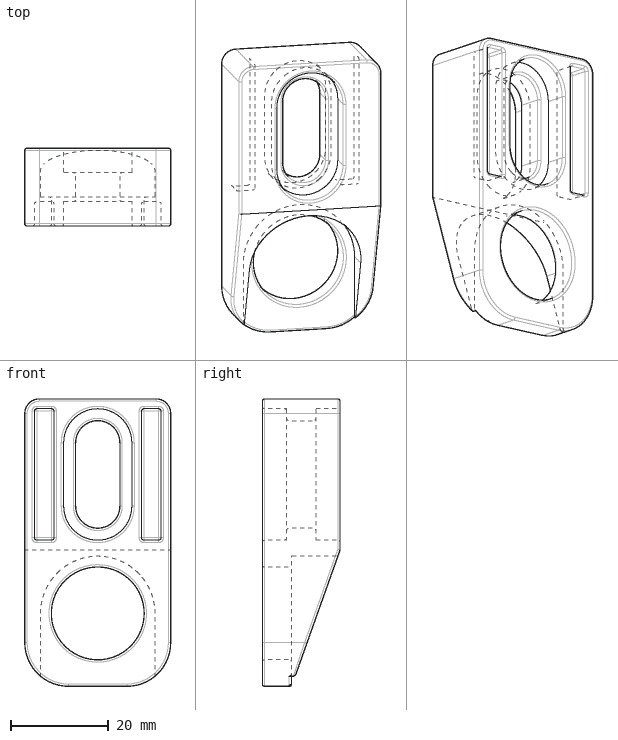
import cadquery as cq

width = 30.0
depth = 16.0
height = 59.0

edge_radius = 0.5
top_corner_radius = 3.0
bottom_corner_radius = 9.0
plate_thickness = 6.0
slope_top_z = 28.0

hole_z = width / 2
hole_radius = 9.5
recess_radius = 11.75

slot_width = 9.0
slot_end_margin = 9.0
counterbore_width = 14.0
counterbore_depth = 5.0
slot_centre_distance = 13.0
slot_upper_z = height - slot_end_margin
slot_lower_z = slot_upper_z - slot_centre_distance
slot_mid_z = (slot_upper_z + slot_lower_z) / 2

pocket_width = 4.0
pocket_length = slot_centre_distance + counterbore_width
pocket_depth = counterbore_depth
pocket_side_margin = 4.0
pocket_x = width / 2 - pocket_side_margin
pocket_corner_radius = edge_radius


def front_plane(y=0.0):
    """XZ sketch plane at the given Y; positive extrusion runs toward the front."""
    return cq.Workplane("XZ", origin=(0, y, 0))


def make_blank():
    """Block with rounded corners whose back slopes in toward the foot."""
    side_profile = (
        cq.Workplane("YZ")
        .polyline(
            [
                (0, 0),
                (plate_thickness, 0),
                (depth, slope_top_z),
                (depth, height),
                (0, height),
            ]
        )
        .close()
        .extrude(width / 2, both=True)
    )
    return (
        side_profile
        .edges("|Y and >Z").fillet(top_corner_radius)
        .edges("|Y and <Z").fillet(bottom_corner_radius)
    )


def make_recess():
    """Round-topped recess that leaves a flat plate around the hole and opens at the foot."""
    recess_depth = depth - plate_thickness
    round_top = front_plane(depth).center(0, hole_z).circle(recess_radius).extrude(recess_depth)
    lower_part = (
        front_plane(depth)
        .center(0, hole_z / 2)
        .rect(2 * recess_radius, hole_z)
        .extrude(recess_depth)
    )
    return round_top.union(lower_part)


def make_slot(slot_size, slot_depth):
    """Upright slot running back from the front face."""
    return (
        front_plane()
        .center(0, slot_mid_z)
        .slot2D(slot_centre_distance + slot_size, slot_size, 90)
        .extrude(-slot_depth)
    )


def make_pocket(x):
    """Narrow upright pocket with rounded corners and floor edges, sunk into the front face."""
    return (
        front_plane()
        .center(x, slot_mid_z)
        .rect(pocket_width, pocket_length)
        .extrude(-pocket_depth)
        .edges("|Y")
        .fillet(pocket_corner_radius)
        .faces(">Y")
        .edges()
        .fillet(pocket_corner_radius)
    )


def edges_at(y, half_width, low_z, high_z):
    """Selector for edges lying on the plane Y = y, wholly inside a symmetric X range and a Z range."""
    margin = edge_radius / 2
    return cq.selectors.BoxSelector(
        (-half_width - margin, y - margin, low_z - margin),
        (half_width + margin, y + margin, high_z + margin),
        boundingbox=True,
    )


def slot_edges_at(y, slot_size):
    """Selector for the outline of a slot of the given width on the plane Y = y."""
    reach = slot_size / 2
    return edges_at(y, reach, slot_lower_z - reach, slot_upper_z + reach)


def round_rims(blank):
    """Round the outer rims of the front and back; the recess and the bend of the back stay sharp."""
    cross_edges = cq.selectors.StringSyntaxSelector("not |Y")
    recess_and_bend = cq.selectors.BoxSelector(
        (-recess_radius - edge_radius, plate_thickness - edge_radius, 2 * edge_radius),
        (recess_radius + edge_radius, depth + edge_radius, slope_top_z + edge_radius),
    )
    return blank.edges(cross_edges - recess_and_bend).fillet(edge_radius)


def cut_openings(part):
    """Cut the hole, the slot with a counterbore on both faces, and the two pockets."""
    front_counterbore = make_slot(counterbore_width, counterbore_depth)
    back_counterbore = front_counterbore.translate((0, depth - counterbore_depth, 0))
    part = (
        part
        .cut(front_plane().center(0, hole_z).circle(hole_radius).extrude(-depth))
        .cut(make_slot(slot_width, depth))
        .cut(front_counterbore)
        .cut(back_counterbore)
    )
    for side in (-1, 1):
        part = part.cut(make_pocket(side * pocket_x))
    return part


def round_opening_edges(part):
    """Round every mouth of the hole, slot, counterbores and pockets."""
    pocket_reach = pocket_x + pocket_width / 2
    hole_low_z = hole_z - hole_radius
    hole_high_z = hole_z + hole_radius
    pocket_high_z = slot_mid_z + pocket_length / 2
    mouths = (
        edges_at(0, pocket_reach, hole_low_z, pocket_high_z)
        + edges_at(plate_thickness, hole_radius, hole_low_z, hole_high_z)
        + slot_edges_at(depth, counterbore_width)
        + slot_edges_at(counterbore_depth, slot_width)
        + slot_edges_at(depth - counterbore_depth, slot_width)
    )
    return part.edges(mouths).fillet(edge_radius)


blank = round_rims(make_blank().cut(make_recess()))
result = round_opening_edges(cut_openings(blank))